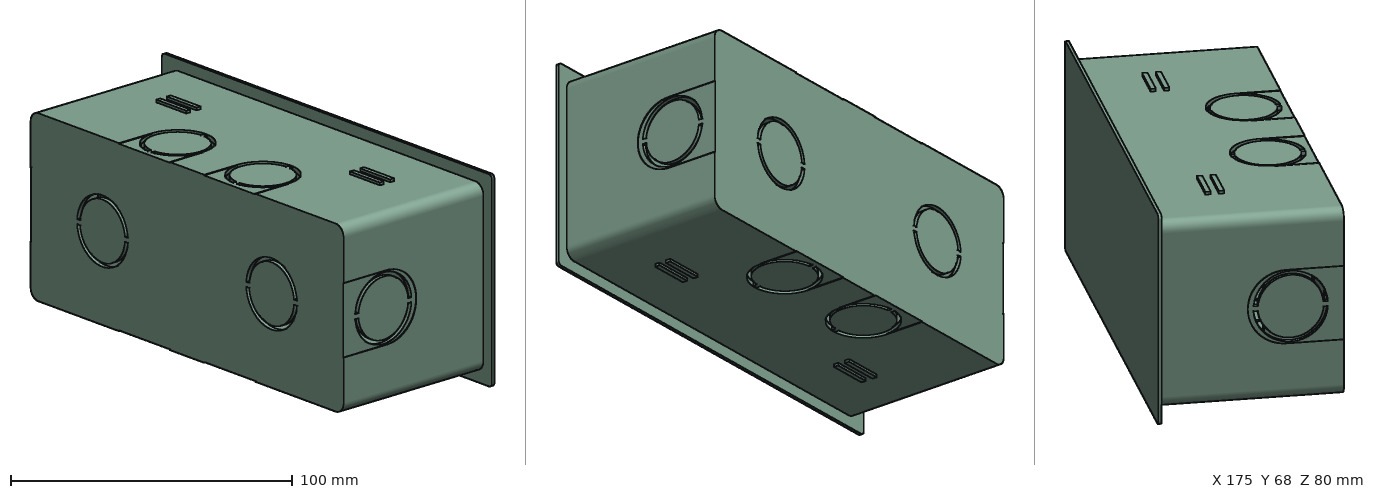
import cadquery as cq

plate_length = 175.0
plate_height = 80.0
plate_thickness = 1.2
plate_corner_radius = 1.5
overhang = 4.5

total_depth = 68.0
box_length = plate_length - 2 * overhang
box_height = plate_height - 2 * overhang
box_depth = total_depth - plate_thickness
box_corner_radius = 4.2
wall = 2.0

slot_outer_radius = 13.5
slot_inner_radius = 11.9
bridge_width = 2.0
back_knockout_x = 44.8
top_knockout_x = 22.5
top_knockout_y = 16.0
side_knockout_y = 19.2

recess_depth = 0.26
top_recess_radius = slot_outer_radius
side_recess_radius = 14.0
side_recess_y = 20.8

rib_length = 16.0
rib_width = 2.0
rib_height = 1.0
rib_rows_y = (39.7, 44.6)
rib_pair_x = 51.3

divider_x = rib_pair_x
divider_thickness = 2.6
divider_back_gap = 6.0
divider_front_y = 23.1


def slab(length, height, corner_radius, y_start, depth):
    """Rounded rectangle centred on the Y axis, extruded towards +Y."""
    return (
        cq.Workplane("XZ", origin=(0, y_start, 0))
        .rect(length, height)
        .extrude(-depth)
        .edges("|Y")
        .fillet(corner_radius)
    )


def wall_plane(origin, normal, along):
    """Workplane on an outer wall face, its local X running along the given direction."""
    return cq.Workplane(cq.Plane(origin=origin, xDir=along, normal=normal))


def ring_slot(plane):
    """Ring cutter through the wall, interrupted by two bridges on the local X axis."""
    ring = plane.circle(slot_outer_radius).circle(slot_inner_radius).extrude(-wall)
    bridges = plane.rect(2 * slot_outer_radius, bridge_width).extrude(-wall)
    return ring.cut(bridges)


def u_recess(plane, radius, distance_to_back):
    """U-shaped cutter, round towards the front and open at the back edge of the wall."""
    return (
        plane.moveTo(-distance_to_back, -radius)
        .lineTo(0, -radius)
        .threePointArc((radius, 0), (0, radius))
        .lineTo(-distance_to_back, radius)
        .close()
        .extrude(-recess_depth)
    )


def make_housing():
    housing = slab(box_length, box_height, box_corner_radius, 0, box_depth)
    cavity = slab(
        box_length - 2 * wall, box_height - 2 * wall, box_corner_radius - wall, wall, box_depth - wall
    )
    housing = housing.cut(cavity)

    for side in (-1, 1):
        back = wall_plane((side * back_knockout_x, 0, 0), (0, -1, 0), (1, 0, 0))
        housing = housing.cut(ring_slot(back))

        end_x = side * box_length / 2
        end_recess = wall_plane((end_x, side_recess_y, 0), (side, 0, 0), (0, 1, 0))
        end_slot = wall_plane((end_x, side_knockout_y, 0), (side, 0, 0), (0, 1, 0))
        housing = housing.cut(u_recess(end_recess, side_recess_radius, side_recess_y))
        housing = housing.cut(ring_slot(end_slot))

        for x_side in (-1, 1):
            face_z = side * box_height / 2
            face = wall_plane((x_side * top_knockout_x, top_knockout_y, face_z), (0, 0, side), (0, 1, 0))
            housing = housing.cut(u_recess(face, top_recess_radius, top_knockout_y))
            housing = housing.cut(ring_slot(face))
            for rib_y in rib_rows_y:
                rib_base = wall_plane((x_side * rib_pair_x, rib_y, face_z), (0, 0, side), (0, 1, 0))
                housing = housing.union(rib_base.rect(rib_width, rib_length).extrude(rib_height))
    return housing


def make_front_plate():
    return slab(plate_length, plate_height, plate_corner_radius, box_depth, plate_thickness)


def make_divider(x):
    divider_depth = divider_front_y - divider_back_gap
    return cq.Workplane("XY").box(divider_thickness, divider_depth, box_height - 2 * wall).translate(
        (x, divider_back_gap + divider_depth / 2, 0)
    )


housing = make_housing()
front_plate = make_front_plate()
dividers = [make_divider(side * divider_x) for side in (-1, 1)]

result = cq.Compound.makeCompound(
    [housing.val(), front_plate.val(), *[divider.val() for divider in dividers]]
)